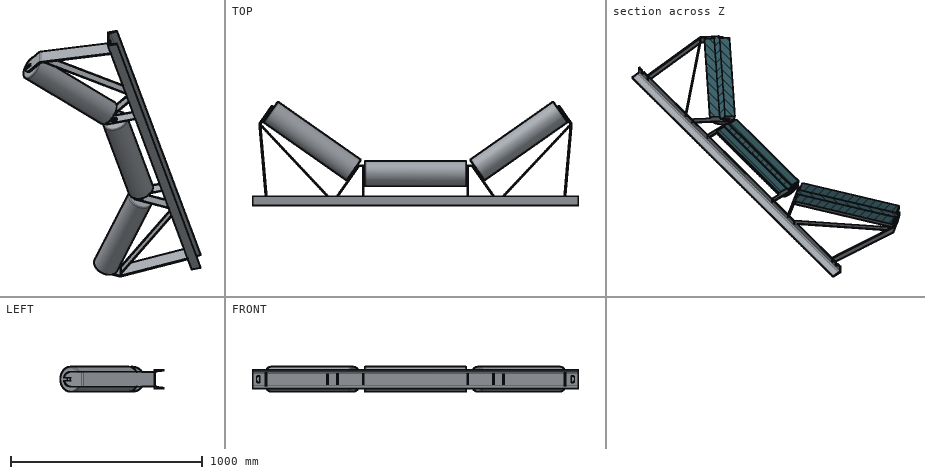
import cadquery as cq
import math


BEAM_LENGTH = 1700.0
BEAM_HEIGHT = 100.0
FLANGE_WIDTH = 50.0
WEB_THICKNESS = 5.0
FLANGE_ROOT_THICKNESS = 11.0
FLANGE_TIP_THICKNESS = 6.0
ROOT_RADIUS = 8.0
TOE_RADIUS = 3.0
MOUNT_SLOT_WIDTH = 15.0
MOUNT_SLOT_LENGTH = 35.0
MOUNT_SLOT_INSET = 30.0

ROLLER_DIAMETER = 133.0
ROLLER_LENGTH = 530.0
ROLLER_EDGE_RADIUS = 5.0
ROLLER_GAP = 5.0
TROUGH_ANGLE = 35.0
CENTER_AXIS_Y = 117.0
SIDE_ROLLER_X = 539.0
SIDE_ROLLER_Y = 287.0
SHAFT_DIAMETER = 25.0
TONGUE_WIDTH = 15.0
TONGUE_HEIGHT = 19.0

INNER_WIDTH = 55.0
OUTER_WIDTH = 76.0
INNER_THICKNESS = 5.0
OUTER_THICKNESS = 8.0
INNER_TOP_Y = 162.0
OUTER_BEND_Y = 375.0
HEAD_DROP = 7.0
OUTER_LEAN = 5.0
OUTER_BEND_RADIUS = 5.0
STRUT_WIDTH = 51.0
STRUT_THICKNESS = 4.2
STRUT_TOP_Y = 375.0
STRUT_FOOT_X = 459.0

FOOT_OVERRUN = 17.0

COS_T = math.cos(math.radians(TROUGH_ANGLE))
SIN_T = math.sin(math.radians(TROUGH_ANGLE))
HALF_ROLLER = ROLLER_LENGTH / 2
BRACKET_FACE = HALF_ROLLER + ROLLER_GAP


def side_point(along, up):
    """XY point in the right-hand side roller's frame: along its axis, then square to it."""
    return (
        SIDE_ROLLER_X + along * COS_T - up * SIN_T,
        SIDE_ROLLER_Y + along * SIN_T + up * COS_T,
    )


def side_point_at_y(along, y):
    """Point at height y on the line square to the side roller axis at the given distance."""
    up = (y - SIDE_ROLLER_Y - along * SIN_T) / COS_T
    return side_point(along, up)


def bent_strip(points, thickness, width):
    """Flat bar standing along Z, bent with mitred corners around a centreline in XY."""
    headings = [
        math.atan2(y1 - y0, x1 - x0)
        for (x0, y0), (x1, y1) in zip(points, points[1:])
    ]
    before = [headings[0]] + headings
    after = headings + [headings[-1]]
    left = []
    right = []
    for (x, y), heading_in, heading_out in zip(points, before, after):
        normal = (heading_in + heading_out) / 2 + math.pi / 2
        reach = thickness / 2 / math.cos((heading_out - heading_in) / 2)
        left.append((x + reach * math.cos(normal), y + reach * math.sin(normal)))
        right.append((x - reach * math.cos(normal), y - reach * math.sin(normal)))
    outline = left + right[::-1]
    return cq.Workplane("XY").polyline(outline).close().extrude(width / 2, both=True)


def place_on_side_axis(body):
    """Move a body built along X at the origin onto the right-hand side roller axis."""
    turned = body.rotate((0, 0, 0), (0, 0, 1), TROUGH_ANGLE)
    return turned.translate((SIDE_ROLLER_X, SIDE_ROLLER_Y, 0))


def tongue_slot(start, thickness, length):
    """Slot cutter through a bracket at X = start, open upward from under the shaft tongue."""
    return (
        cq.Workplane("XY")
        .box(thickness, length, TONGUE_WIDTH, centered=(False, False, True))
        .translate((start, -TONGUE_HEIGHT / 2, 0))
    )


def make_beam():
    half = BEAM_HEIGHT / 2
    upper = [
        (-FLANGE_WIDTH, half),
        (-FLANGE_WIDTH, half - FLANGE_TIP_THICKNESS),
        (-WEB_THICKNESS, half - FLANGE_ROOT_THICKNESS),
    ]
    lower = [(y, -z) for y, z in reversed(upper)]
    beam = (
        cq.Workplane("YZ")
        .polyline([(0, half)] + upper + lower + [(0, -half)])
        .close()
        .extrude(BEAM_LENGTH / 2, both=True)
    )
    for z in (half - FLANGE_TIP_THICKNESS, FLANGE_TIP_THICKNESS - half):
        toe = cq.selectors.NearestToPointSelector((0, -FLANGE_WIDTH, z))
        beam = beam.edges("|X").edges(toe).fillet(TOE_RADIUS)
    for z in (half - FLANGE_ROOT_THICKNESS, FLANGE_ROOT_THICKNESS - half):
        root = cq.selectors.NearestToPointSelector((0, -WEB_THICKNESS, z))
        beam = beam.edges("|X").edges(root).fillet(ROOT_RADIUS)
    slot_x = BEAM_LENGTH / 2 - MOUNT_SLOT_INSET
    mount_slots = (
        cq.Workplane("XZ")
        .pushPoints([(-slot_x, 0), (slot_x, 0)])
        .slot2D(MOUNT_SLOT_LENGTH, MOUNT_SLOT_WIDTH, 90)
        .extrude(WEB_THICKNESS)
    )
    return beam.cut(mount_slots)


def make_inner_bracket():
    """Inverted U: upright leg for the centre roller, sloping leg for the side roller."""
    half = INNER_THICKNESS / 2
    upright_x = BRACKET_FACE + half
    top_y = INNER_TOP_Y - half
    slope_along = -BRACKET_FACE - half
    points = [
        (upright_x, -FOOT_OVERRUN),
        (upright_x, top_y),
        side_point_at_y(slope_along, top_y),
        side_point_at_y(slope_along, -FOOT_OVERRUN),
    ]
    bracket = bent_strip(points, INNER_THICKNESS, INNER_WIDTH)
    center_slot = tongue_slot(BRACKET_FACE, INNER_THICKNESS, INNER_TOP_Y)
    side_slot = tongue_slot(-BRACKET_FACE - INNER_THICKNESS, INNER_THICKNESS, INNER_TOP_Y)
    bracket = bracket.cut(center_slot.translate((0, CENTER_AXIS_Y, 0)))
    return bracket.cut(place_on_side_axis(side_slot))


def make_outer_bracket():
    """Leaning leg bent to lie square to the side roller axis, with a round slotted head."""
    half = OUTER_THICKNESS / 2
    head_along = BRACKET_FACE + half
    bend_x, bend_y = side_point_at_y(head_along, OUTER_BEND_Y)
    foot_x = bend_x - (bend_y + FOOT_OVERRUN) * math.tan(math.radians(OUTER_LEAN))
    points = [(foot_x, -FOOT_OVERRUN), (bend_x, bend_y), side_point(head_along, -HEAD_DROP)]
    bracket = bent_strip(points, OUTER_THICKNESS, OUTER_WIDTH)
    corners = (
        (bend_x - half, OUTER_BEND_RADIUS),
        (bend_x + half, OUTER_BEND_RADIUS + OUTER_THICKNESS),
    )
    for corner_x, radius in corners:
        corner = cq.selectors.NearestToPointSelector((corner_x, bend_y, 0))
        bracket = bracket.edges("|Z").edges(corner).fillet(radius)
    head = (
        cq.Workplane("YZ", origin=(BRACKET_FACE, -HEAD_DROP, 0))
        .circle(OUTER_WIDTH / 2)
        .extrude(OUTER_THICKNESS)
    )
    slot = tongue_slot(BRACKET_FACE, OUTER_THICKNESS, OUTER_WIDTH)
    return bracket.union(place_on_side_axis(head)).cut(place_on_side_axis(slot))


def make_strut():
    """Diagonal flat bar from the bend of the outer bracket down to the channel."""
    top_x, top_y = side_point_at_y(BRACKET_FACE + OUTER_THICKNESS / 2, STRUT_TOP_Y)
    run = (top_x - STRUT_FOOT_X) / top_y
    foot = (STRUT_FOOT_X - FOOT_OVERRUN * run, -FOOT_OVERRUN)
    return bent_strip([foot, (top_x, top_y)], STRUT_THICKNESS, STRUT_WIDTH)


def make_frame():
    supports = make_inner_bracket().union(make_outer_bracket()).union(make_strut())
    below_beam_back = (
        cq.Workplane("XY")
        .box(BEAM_LENGTH, 2 * FOOT_OVERRUN, BEAM_HEIGHT)
        .translate((0, -FOOT_OVERRUN, 0))
    )
    supports = supports.cut(below_beam_back)
    return make_beam().union(supports).union(supports.mirror("YZ"))


def make_roller():
    """Roller along X, centred at the origin, bored for its shaft."""
    return (
        cq.Workplane("YZ", origin=(-HALF_ROLLER, 0, 0))
        .circle(ROLLER_DIAMETER / 2)
        .extrude(ROLLER_LENGTH)
        .edges()
        .fillet(ROLLER_EDGE_RADIUS)
        .faces(">X")
        .workplane()
        .hole(SHAFT_DIAMETER)
    )


def make_shaft(left_thickness, right_thickness):
    """Shaft along X with a flatted tongue through the bracket at each end."""
    shaft = (
        cq.Workplane("YZ", origin=(-BRACKET_FACE, 0, 0))
        .circle(SHAFT_DIAMETER / 2)
        .extrude(2 * BRACKET_FACE)
    )
    for sign, thickness in ((-1, left_thickness), (1, right_thickness)):
        tongue = cq.Workplane("XY").box(thickness, TONGUE_HEIGHT, TONGUE_WIDTH)
        shaft = shaft.union(tongue.translate((sign * (BRACKET_FACE + thickness / 2), 0, 0)))
    return shaft


def place_all(center_body, side_body):
    """One body on the centre axis and one on each side axis."""
    right = place_on_side_axis(side_body)
    return [center_body.translate((0, CENTER_AXIS_Y, 0)), right, right.mirror("YZ")]


frame = make_frame()
roller = make_roller()
rollers = place_all(roller, roller)
shafts = place_all(
    make_shaft(INNER_THICKNESS, INNER_THICKNESS),
    make_shaft(INNER_THICKNESS, OUTER_THICKNESS),
)

bodies = [frame] + rollers + shafts
result = cq.Compound.makeCompound([body.val() for body in bodies])